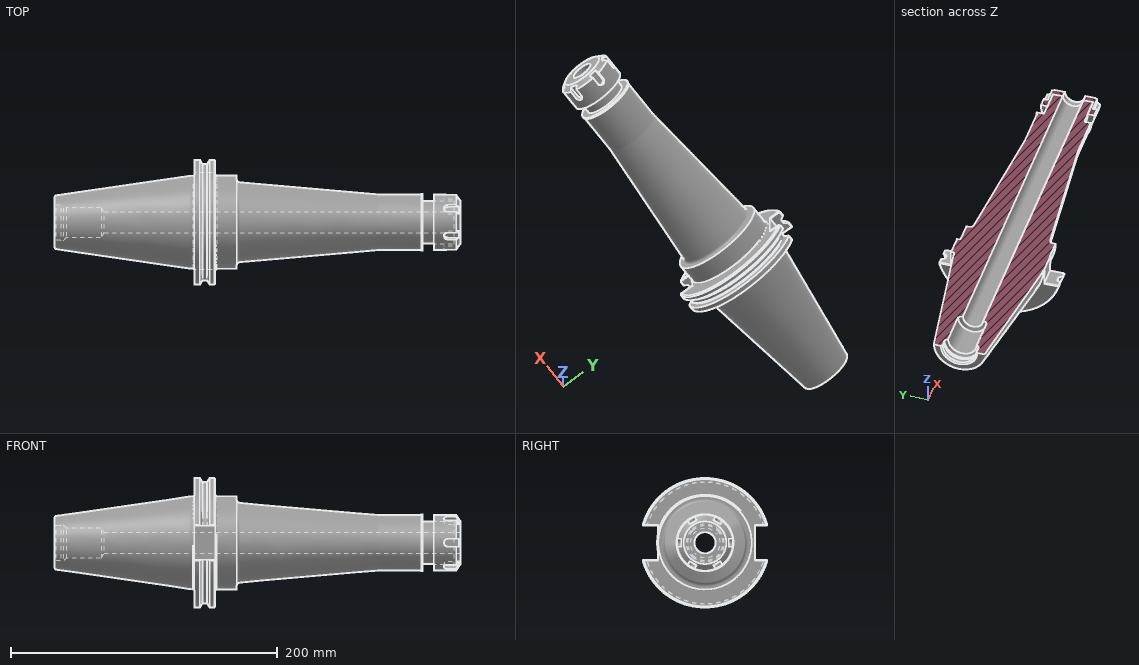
import cadquery as cq
import math


gauge_diameter = 69.85
taper_length = 101.75
taper_ratio = 7 / 24
small_end_diameter = gauge_diameter - taper_length * taper_ratio
small_end_x = -taper_length
small_end_fillet = 2.0

flange_diameter = 97.5
flange_start_x = 3.2
flange_end_x = 19.1
flange_chamfer = 1.0
groove_x = 11.1
groove_root_diameter = 91.25
groove_root_width = 3.7
groove_root_fillet = 0.6
flange_corner_fillet = 1.0
groove_flank_angle = 30.0
groove_clearance = 1.0
key_slot_width = 25.7
key_slot_floor_front = 35.4
key_slot_floor_back = 37.7
key_slot_chamfer = 0.5

collar_diameter = 70.2
collar_end_x = 35.0
neck_angle = 5.0
neck_fillet = 2.75
nose_diameter = 42.0
nose_start_x = 141.0
nose_end_x = 174.7
nose_lip_diameter = 43.0
nose_lip_width = 1.2
thread_diameter = 32.0

overall_length = 304.82
nut_diameter = 42.0
nut_start_x = 183.1
nut_end_x = overall_length - taper_length
nut_chamfer_length = 3.4
nut_face_diameter = 32.0
nut_slot_count = 6
nut_first_slot_angle = 90.0
nut_slot_width = 6.0
nut_slot_start_x = 190.6
nut_slot_floor = 17.8
thread_end_x = 198.0

bore_diameter = 15.75
mouth_diameter = 28.5
mouth_angle = 45.0
pilot_diameter = 26.2
pilot_end_x = small_end_x + 4.9
relief_diameter = 26.7
relief_end_x = small_end_x + 6.7
stud_bore_diameter = 22.23
stud_bore_lead_angle = 45.0
stud_bore_end_x = small_end_x + 35.0
stud_bore_floor_angle = 60.0

pick_margin = 0.05


def turned(points):
    """Revolve a closed (x, radius) outline about the X axis."""
    return cq.Workplane("XY").polyline(points).close().revolve(360, (0, 0, 0), (1, 0, 0))


def cone_length(large_diameter, small_diameter, slope):
    """Length along the axis of a cone whose side slopes to the axis by an angle in degrees."""
    return (large_diameter - small_diameter) / 2 / math.tan(math.radians(slope))


def circle_at(x, radius):
    """Select the circular edge of one radius about the X axis."""
    reach = radius + pick_margin
    return cq.selectors.BoxSelector(
        (x - pick_margin, -reach, -reach), (x + pick_margin, reach, reach), boundingbox=True
    )


def make_holder_outside():
    flange_radius = flange_diameter / 2
    collar_radius = collar_diameter / 2
    nose_radius = nose_diameter / 2
    thread_radius = thread_diameter / 2
    neck_rise = (nose_start_x - collar_end_x) * math.tan(math.radians(neck_angle))
    neck_radius = nose_radius + neck_rise
    lip_radius = nose_lip_diameter / 2
    lip_start_x = nose_end_x - nose_lip_width
    body = turned(
        [
            (small_end_x, 0),
            (small_end_x, small_end_diameter / 2),
            (0, gauge_diameter / 2),
            (flange_start_x, gauge_diameter / 2),
            (flange_start_x, flange_radius),
            (flange_end_x - flange_chamfer, flange_radius),
            (flange_end_x, flange_radius - flange_chamfer),
            (flange_end_x, collar_radius),
            (collar_end_x, collar_radius),
            (collar_end_x, neck_radius),
            (nose_start_x, nose_radius),
            (lip_start_x, nose_radius),
            (lip_start_x, lip_radius),
            (nose_end_x, lip_radius),
            (nose_end_x, thread_radius),
            (thread_end_x, thread_radius),
            (thread_end_x, 0),
        ]
    )
    body = body.faces("<X").edges().fillet(small_end_fillet)
    body = body.edges(circle_at(collar_end_x, neck_radius)).fillet(neck_fillet)
    body = body.edges(circle_at(flange_start_x, gauge_diameter / 2)).fillet(flange_corner_fillet)
    return body.edges(circle_at(flange_end_x, collar_radius)).fillet(flange_corner_fillet)


def make_groove():
    """The ring of material that leaves the V groove, cut on past the flange rim."""
    root_radius = groove_root_diameter / 2
    rim_radius = flange_diameter / 2 + groove_clearance
    half_root = groove_root_width / 2
    half_mouth = half_root + (rim_radius - root_radius) * math.tan(math.radians(groove_flank_angle))
    groove = turned(
        [
            (groove_x - half_mouth, rim_radius),
            (groove_x - half_root, root_radius),
            (groove_x + half_root, root_radius),
            (groove_x + half_mouth, rim_radius),
        ]
    )
    for x in (groove_x - half_root, groove_x + half_root):
        groove = groove.edges(circle_at(x, root_radius)).fillet(groove_root_fillet)
    return groove


def make_key_slots():
    reach = flange_diameter
    length = flange_end_x - flange_start_x
    slot = cq.Workplane("XY").box(length, reach, key_slot_width, centered=(False, False, True))
    front = slot.translate((flange_start_x, -key_slot_floor_front - reach, 0))
    return front.union(slot.translate((flange_start_x, key_slot_floor_back, 0)))


def chamfer_key_slots(body):
    """Break the edges where the slot walls meet the rim and the end faces of the flange."""
    between_floors = cq.selectors.BoxSelector(
        (flange_start_x - pick_margin, -key_slot_floor_front - pick_margin, -flange_diameter),
        (flange_end_x + pick_margin, key_slot_floor_back + pick_margin, flange_diameter),
        boundingbox=True,
    )
    for wall in (-key_slot_width / 2, key_slot_width / 2):
        wall_edges = cq.selectors.BoxSelector(
            (flange_start_x - pick_margin, -flange_diameter, wall - pick_margin),
            (flange_end_x + pick_margin, flange_diameter, wall + pick_margin),
            boundingbox=True,
        )
        body = body.edges(wall_edges - between_floors).chamfer(key_slot_chamfer)
    return body


def make_holder_bore():
    pilot_start_x = small_end_x + cone_length(mouth_diameter, pilot_diameter, mouth_angle)
    lead_length = cone_length(relief_diameter, stud_bore_diameter, stud_bore_lead_angle)
    floor_length = cone_length(stud_bore_diameter, bore_diameter, stud_bore_floor_angle)
    return turned(
        [
            (small_end_x, 0),
            (small_end_x, mouth_diameter / 2),
            (pilot_start_x, pilot_diameter / 2),
            (pilot_end_x, pilot_diameter / 2),
            (pilot_end_x, relief_diameter / 2),
            (relief_end_x, relief_diameter / 2),
            (relief_end_x + lead_length, stud_bore_diameter / 2),
            (stud_bore_end_x, stud_bore_diameter / 2),
            (stud_bore_end_x + floor_length, bore_diameter / 2),
            (thread_end_x, bore_diameter / 2),
            (thread_end_x, 0),
        ]
    )


def make_nut():
    nut_radius = nut_diameter / 2
    nut = turned(
        [
            (nut_start_x, thread_diameter / 2),
            (nut_start_x, nut_radius),
            (nut_end_x - nut_chamfer_length, nut_radius),
            (nut_end_x, nut_face_diameter / 2),
            (nut_end_x, bore_diameter / 2),
            (thread_end_x, bore_diameter / 2),
            (thread_end_x, thread_diameter / 2),
        ]
    )
    slot_half_width = nut_slot_width / 2
    slot = (
        cq.Workplane("XY", origin=(0, 0, nut_slot_floor))
        .moveTo(nut_end_x, -slot_half_width)
        .lineTo(nut_slot_start_x + slot_half_width, -slot_half_width)
        .threePointArc((nut_slot_start_x, 0), (nut_slot_start_x + slot_half_width, slot_half_width))
        .lineTo(nut_end_x, slot_half_width)
        .close()
        .extrude(nut_radius)
    )
    for index in range(nut_slot_count):
        angle = nut_first_slot_angle + index * 360 / nut_slot_count
        nut = nut.cut(slot.rotate((0, 0, 0), (1, 0, 0), angle))
    return nut


holder = make_holder_outside().cut(make_key_slots())
holder = chamfer_key_slots(holder).cut(make_groove()).cut(make_holder_bore())
nut = make_nut()

result = cq.Compound.makeCompound([holder.val(), nut.val()])